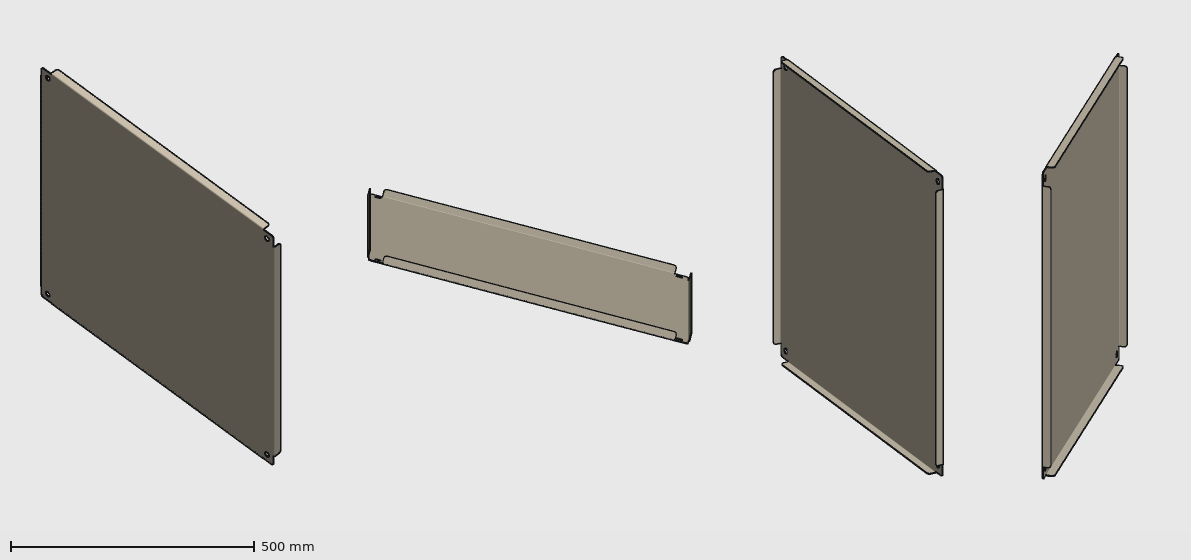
import cadquery as cq

panel_size = 685.8
panel_depth = 19.05

sheet_thickness = 2.38125
bend_inner_radius = 0.79375
bend_outer_radius = bend_inner_radius + sheet_thickness

plate_size = panel_size - 2 * bend_outer_radius
plate_corner_radius = 6.35

flange_end_setback = 31.75
flange_length = panel_size - 2 * flange_end_setback
flange_corner_radius = 6.35

hole_diameter = 12.7
hole_edge_distance = 22.225
hole_spacing = panel_size - 2 * hole_edge_distance


def make_plate():
    """Flat plate with rounded corners, front face on Y = 0 and thickness toward +Y."""
    return (
        cq.Workplane("XZ")
        .rect(plate_size, plate_size)
        .extrude(-sheet_thickness)
        .edges("|Y")
        .fillet(plate_corner_radius)
    )


def make_top_flange():
    """Bend and flange on the +Z edge, with the free corners of the flange rounded."""
    outer_z = panel_size / 2
    inner_z = outer_z - sheet_thickness
    bend_start_z = plate_size / 2
    flange = (
        cq.Workplane("YZ")
        .moveTo(0, bend_start_z)
        .radiusArc((bend_outer_radius, outer_z), bend_outer_radius)
        .lineTo(panel_depth, outer_z)
        .lineTo(panel_depth, inner_z)
        .lineTo(bend_outer_radius, inner_z)
        .radiusArc((sheet_thickness, bend_start_z), -bend_inner_radius)
        .close()
        .extrude(flange_length / 2, both=True)
    )
    return flange.faces(">Y").edges("|Z").fillet(flange_corner_radius)


def make_corner_holes():
    """Cutters for the four mounting holes."""
    return (
        cq.Workplane("XZ")
        .rect(hole_spacing, hole_spacing, forConstruction=True)
        .vertices()
        .circle(hole_diameter / 2)
        .extrude(-sheet_thickness)
    )


result = make_plate().cut(make_corner_holes())
top_flange = make_top_flange()
for angle in (0, 90, 180, 270):
    result = result.union(top_flange.rotate((0, 0, 0), (0, 1, 0), angle))